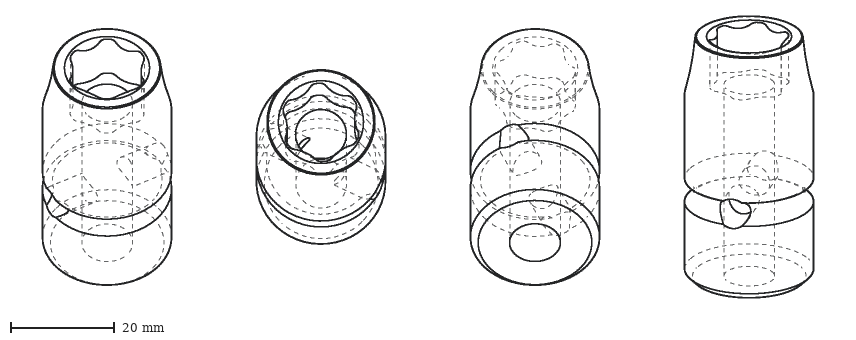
import cadquery as cq
import math

body_diameter = 24.9
body_height = 50.0
bottom_chamfer = 1.5

nose_start_height = 38.0
nose_end_radius = 10.4
nose_arc_radius = 70.0
rim_chamfer_height = 0.2
rim_chamfer_width = 0.25

groove_height = 18.0
groove_arc_radius = 2.5
groove_root_radius = 10.55
pin_hole_diameter = 6.1

lobe_count = 6
lobe_tip_radius = 7.75
valley_root_radius = 6.55
valley_arc_radius = 6.1
lobe_corner_fillet = 1.5
socket_depth = 10.0
lead_in_radius = 8.2
lead_in_angle = 30.0

bore_diameter = 9.8

body_radius = body_diameter / 2
top = body_height


def make_body():
    """Revolve the outer profile, including the concave nose."""
    nose_end_height = top - rim_chamfer_height
    run = nose_end_radius - body_radius
    rise = nose_end_height - nose_start_height
    chord = math.hypot(run, rise)
    sag = nose_arc_radius - math.sqrt(nose_arc_radius**2 - (chord / 2) ** 2)
    nose_middle = (
        body_radius + run / 2 - sag * rise / chord,
        nose_start_height + rise / 2 + sag * run / chord,
    )
    return (
        cq.Workplane("XZ")
        .moveTo(0, 0)
        .lineTo(body_radius - bottom_chamfer, 0)
        .lineTo(body_radius, bottom_chamfer)
        .lineTo(body_radius, nose_start_height)
        .threePointArc(nose_middle, (nose_end_radius, nose_end_height))
        .lineTo(nose_end_radius - rim_chamfer_width, top)
        .lineTo(0, top)
        .close()
        .revolve(360, (0, 0), (0, 1))
    )


def make_groove():
    """Ring of circular section that cuts the retaining groove."""
    ring_radius = groove_root_radius + groove_arc_radius
    return (
        cq.Workplane("XZ")
        .center(ring_radius, groove_height)
        .circle(groove_arc_radius)
        .revolve(360, (-ring_radius, 0), (-ring_radius, 1))
    )


def make_pin_hole():
    """Cylinder along Y through both walls at the groove."""
    return (
        cq.Workplane("XZ")
        .center(0, groove_height)
        .circle(pin_hole_diameter / 2)
        .extrude(body_radius, both=True)
    )


def make_socket():
    """Lobed recess: a cylinder scalloped by six arcs, with rounded corners."""
    floor = cq.Workplane("XY").workplane(offset=top - socket_depth)
    valley_centre_radius = valley_root_radius + valley_arc_radius
    valleys = (
        floor.polarArray(valley_centre_radius, 0, 360, lobe_count)
        .circle(valley_arc_radius)
        .extrude(socket_depth)
    )
    lobes = floor.circle(lobe_tip_radius).extrude(socket_depth).cut(valleys)
    return lobes.edges("|Z").fillet(lobe_corner_fillet)


def make_lead_in():
    """Cone that opens the socket mouth."""
    cone_depth = lead_in_radius * math.tan(math.radians(lead_in_angle))
    return cq.Workplane("XY").add(
        cq.Solid.makeCone(
            0, lead_in_radius, cone_depth, cq.Vector(0, 0, top - cone_depth)
        )
    )


def make_bore():
    """Round bore along the whole axis."""
    return cq.Workplane("XY").circle(bore_diameter / 2).extrude(top)


result = (
    make_body()
    .cut(make_groove())
    .cut(make_pin_hole())
    .cut(make_socket())
    .cut(make_lead_in())
    .cut(make_bore())
)